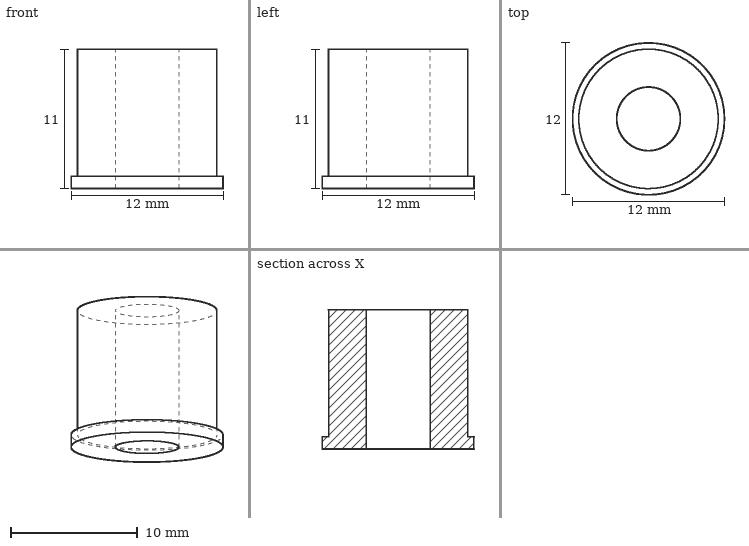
import cadquery as cq

flange_diameter = 12.0
body_diameter = 11.0
bore_diameter = 5.0
total_height = 11.0
flange_thickness = 1.0


def cylinder(diameter, height):
    """Cylinder on the Z axis, rising from Z = 0."""
    return cq.Workplane("XY").circle(diameter / 2).extrude(height)


flange = cylinder(flange_diameter, flange_thickness)
body = cylinder(body_diameter, total_height)
bore = cylinder(bore_diameter, total_height)

result = flange.union(body).cut(bore)